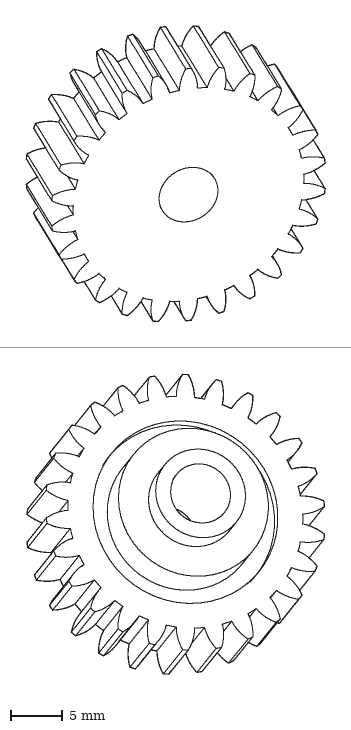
import cadquery as cq
import math

outer_diameter = 28.0
tooth_count = 26
module = outer_diameter / (tooth_count + 2)
tip_radius = outer_diameter / 2
pitch_radius = module * tooth_count / 2
dedendum_ratio = 1.25
root_radius = pitch_radius - dedendum_ratio * module
tooth_pitch_angle = 2 * math.pi / tooth_count

tip_half_thickness = 0.28
pitch_half_thickness = 0.73
root_half_thickness = 0.92

gear_width = 9.0
hub_length = 3.7
journal_length = 3.3
recess_depth = 1.5

recess_diameter = 18.5
hub_diameter = 15.0
journal_diameter = 9.0
bore_diameter = 6.0

hub_end = -hub_length
journal_end = hub_end - journal_length


def polar(radius, angle):
    """Point in the YZ plane, with the angle measured from +Z."""
    return (radius * math.sin(angle), radius * math.cos(angle))


def cylinder(diameter, start, length):
    """Cylinder on the X axis, running from start towards +X."""
    return cq.Workplane("YZ", origin=(start, 0, 0)).circle(diameter / 2).extrude(length)


def toothed_wheel():
    """Spur gear whose first tooth points along +Z, with arc flanks, tips and roots."""
    tip_angle = math.asin(tip_half_thickness / tip_radius)
    pitch_angle = math.asin(pitch_half_thickness / pitch_radius)
    root_angle = math.asin(root_half_thickness / root_radius)

    outline = cq.Workplane("YZ").moveTo(*polar(root_radius, -root_angle))
    for tooth in range(tooth_count):
        centre = tooth * tooth_pitch_angle
        gap_centre = centre + tooth_pitch_angle / 2
        next_root = centre + tooth_pitch_angle - root_angle
        tip_start = polar(tip_radius, centre - tip_angle)
        tip_end = polar(tip_radius, centre + tip_angle)
        flank_end = polar(root_radius, centre + root_angle)
        outline = (
            outline
            .threePointArc(polar(pitch_radius, centre - pitch_angle), tip_start)
            .threePointArc(polar(tip_radius, centre), tip_end)
            .threePointArc(polar(pitch_radius, centre + pitch_angle), flank_end)
            .threePointArc(polar(root_radius, gap_centre), polar(root_radius, next_root))
        )
    return outline.close().extrude(gear_width)


recess = cylinder(recess_diameter, 0, recess_depth)
hub = cylinder(hub_diameter, hub_end, hub_length + recess_depth)
journal = cylinder(journal_diameter, journal_end, journal_length)
bore = cylinder(bore_diameter, journal_end, journal_length + hub_length + gear_width)

result = toothed_wheel().cut(recess).union(hub).union(journal).cut(bore)